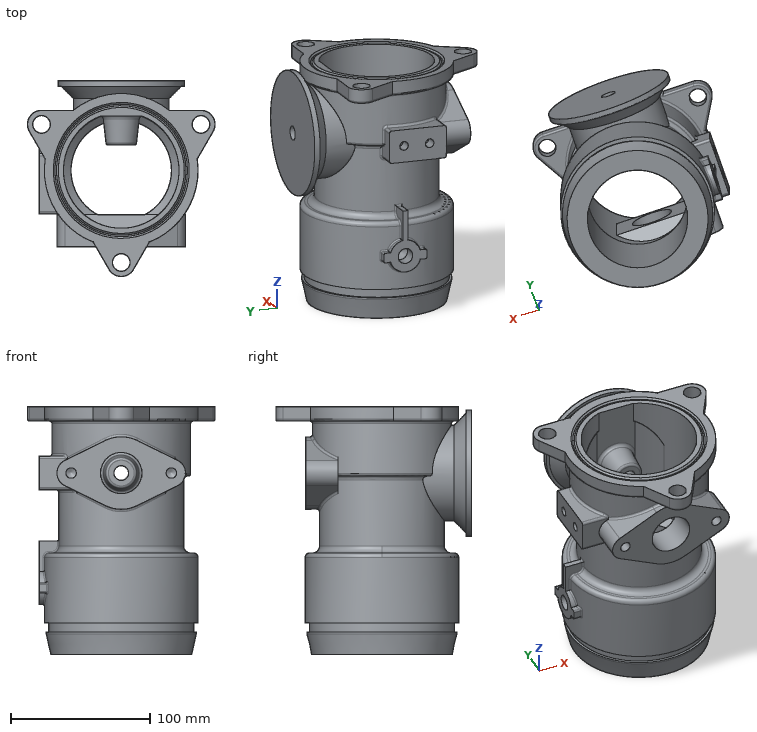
import cadquery as cq
import math


HEIGHT = 178.0
PORT_Z = 130.3

TIP_RADIUS = 50.5
LIP_RADIUS = 54.0
LIP_LOW_Z = 15.0
LIP_TOP_Z = 16.2
NECK_GROOVE_RADIUS = 52.2
DRUM_RADIUS = 55.2
DRUM_LOW_Z = 22.8
DRUM_TOP_Z = 73.0
DRUM_EDGE_FILLET = 3.4
WAIST_RADIUS = 44.9
WAIST_FILLET = 5.0
HEAD_RADIUS = 49.8
HEAD_LOW_Z = 128.2
HEAD_EDGE_FILLET = 1.8
HEAD_ROOT_FILLET = 3.0

BORE_RADIUS = 41.5
OUTLET_RADIUS = 36.0
REAR_FLAT_Y = 39.2
REAR_RECESS_RADIUS = 40.5
REAR_RECESS_CENTRE_Y = 1.5

FLANGE_THICKNESS = 10.5
FLANGE_RADIUS = 55.2
FLANGE_LOW_Z = HEIGHT - FLANGE_THICKNESS
FLANGE_EDGE_FILLET = 1.5
FLANGE_ROOT_FILLET = 1.8
EAR_CIRCLE_RADIUS = 66.0
EAR_RADIUS = 10.1
EAR_HOLE_RADIUS = 6.2
EAR_HALF_ANGLE = 30.0
EAR_ANGLES = (30.0, 150.0, 270.0)
SEAL_OUTER_RADIUS = 48.8
SEAL_INNER_RADIUS = 45.2
SEAL_DEPTH = 1.2

COUPLING_Y = 64.5
COUPLING_RADIUS = 45.4
COUPLING_RIM = 4.1
CONE_RADIUS = 43.0
STUB_RADIUS = 34.4
NOZZLE_TIP_Y = 18.2
NOZZLE_TIP_RADIUS = 10.9
NOZZLE_ROOT_RADIUS = 13.2
NOZZLE_TIP_FILLET = 1.8
NOZZLE_ROOT_FILLET = 2.5
NOZZLE_HOLE_RADIUS = 5.2

PORT_FACE_Y = -54.8
PORT_BACK_Y = -31.7
PORT_BLEND_Y = -14.2
PORT_CENTRE_RADIUS = 26.0
PORT_END_RADIUS = 10.1
PORT_HOLE_SPACING = 36.0
PORT_SCREW_RADIUS = 3.7
PORT_SCREW_DEPTH = 14.2
PORT_HOLE_RADIUS = 14.8
BOSS_ROOT_FILLET = 1.8
SILL_HEIGHT = 17.8
SILL_SLOPE_HEIGHT = 8.9

SIDE_FACE_X = -59.0
PAD_REAR_Y = 12.3
PAD_FRONT_Y = -31.3
PAD_HALF_HEIGHT = 12.1
PAD_EDGE_FILLET = 1.8
PAD_HOLE_YS = (1.0, -18.5)
PAD_HOLE_RADIUS = 3.2
PAD_HOLE_DEPTH = 10.7
SENSOR_Z = 47.9
SENSOR_RADIUS = 12.0
SENSOR_HOLE_RADIUS = 5.5
SENSOR_HOLE_DEPTH = 10.7
LUG_HALF_WIDTH = 16.4
LUG_HALF_HEIGHT = 3.5
LUG_CORNER_FILLET = 1.0
RIB_HALF_WIDTH = 2.0
RIB_TOP_Z = 81.7
SENSOR_ROOT_FILLET = 1.0

DRILL_TIP_ANGLE = 118.0
TOLERANCE = 0.002
SIDE_ROOT_X = -26.7


def block(x_range, y_range, z_range):
    """Axis-aligned box between the given limits."""
    sizes = [high - low for low, high in (x_range, y_range, z_range)]
    corner = (x_range[0], y_range[0], z_range[0])
    return cq.Workplane("XY").box(*sizes, centered=False).translate(corner)


def cylinder_y(radius, y_start, y_end):
    """Cylinder along Y on the port axis height."""
    return (
        cq.Workplane("XZ", origin=(0, y_start, PORT_Z)).circle(radius).extrude(y_start - y_end)
    )


def cone_y(start_radius, end_radius, y_start, y_end):
    """Truncated cone about the port axis, which runs along Y."""
    profile = [(0, y_start), (start_radius, y_start), (end_radius, y_end), (0, y_end)]
    return (
        cq.Workplane("XY").polyline(profile).close()
        .revolve(360, (0, 0, 0), (0, 1, 0)).translate((0, 0, PORT_Z))
    )


def drilled_hole(radius, depth, mouth, direction):
    """Blind hole with a conical drill tip."""
    tip_depth = radius / math.tan(math.radians(DRILL_TIP_ANGLE / 2))
    start = cq.Vector(*mouth)
    axis = cq.Vector(*direction)
    shaft = cq.Solid.makeCylinder(radius, depth, start, axis)
    tip = cq.Solid.makeCone(radius, 0, tip_depth, start + axis * depth, axis)
    return cq.Workplane(shaft.fuse(tip))


def blend(base, feature, radius):
    """Join a feature to a base and fillet the edges where their surfaces meet."""
    joined = base.union(feature)
    skins = [base.val().Shells()[0], feature.val().Shells()[0]]

    def is_seam(edge):
        points = [cq.Vertex.makeVertex(*edge.positionAt(t).toTuple()) for t in (0.3, 0.7)]
        return all(skin.distance(point) < TOLERANCE for skin in skins for point in points)

    return joined.edges().filter(is_seam).fillet(radius)


def make_body():
    """Turned outside of the tube, still without its bore."""
    arc = math.sqrt(0.5)
    waist_arc_r = WAIST_RADIUS + WAIST_FILLET
    waist_arc_z = DRUM_TOP_Z + WAIST_FILLET
    drum_arc_r = DRUM_RADIUS - DRUM_EDGE_FILLET
    drum_arc_z = DRUM_TOP_Z - DRUM_EDGE_FILLET
    root_arc_r = WAIST_RADIUS + HEAD_ROOT_FILLET
    root_arc_z = HEAD_LOW_Z - HEAD_ROOT_FILLET
    head_arc_r = HEAD_RADIUS - HEAD_EDGE_FILLET
    head_arc_z = HEAD_LOW_Z + HEAD_EDGE_FILLET
    return (
        cq.Workplane("XZ")
        .moveTo(0, 0)
        .lineTo(TIP_RADIUS, 0)
        .lineTo(LIP_RADIUS, LIP_LOW_Z)
        .lineTo(LIP_RADIUS, LIP_TOP_Z)
        .lineTo(NECK_GROOVE_RADIUS, LIP_TOP_Z)
        .lineTo(NECK_GROOVE_RADIUS, DRUM_LOW_Z)
        .lineTo(DRUM_RADIUS, DRUM_LOW_Z)
        .lineTo(DRUM_RADIUS, drum_arc_z)
        .threePointArc(
            (drum_arc_r + DRUM_EDGE_FILLET * arc, drum_arc_z + DRUM_EDGE_FILLET * arc),
            (drum_arc_r, DRUM_TOP_Z),
        )
        .lineTo(waist_arc_r, DRUM_TOP_Z)
        .threePointArc(
            (waist_arc_r - WAIST_FILLET * arc, waist_arc_z - WAIST_FILLET * arc),
            (WAIST_RADIUS, waist_arc_z),
        )
        .lineTo(WAIST_RADIUS, root_arc_z)
        .threePointArc(
            (root_arc_r - HEAD_ROOT_FILLET * arc, root_arc_z + HEAD_ROOT_FILLET * arc),
            (root_arc_r, HEAD_LOW_Z),
        )
        .lineTo(head_arc_r, HEAD_LOW_Z)
        .threePointArc(
            (head_arc_r + HEAD_EDGE_FILLET * arc, head_arc_z - HEAD_EDGE_FILLET * arc),
            (HEAD_RADIUS, head_arc_z),
        )
        .lineTo(HEAD_RADIUS, FLANGE_LOW_Z - FLANGE_ROOT_FILLET)
        .threePointArc(
            (
                HEAD_RADIUS + FLANGE_ROOT_FILLET * (1 - arc),
                FLANGE_LOW_Z - FLANGE_ROOT_FILLET * (1 - arc),
            ),
            (HEAD_RADIUS + FLANGE_ROOT_FILLET, FLANGE_LOW_Z),
        )
        .lineTo(HEAD_RADIUS + FLANGE_ROOT_FILLET, HEIGHT)
        .lineTo(0, HEIGHT)
        .close()
        .revolve(360, (0, 0, 0), (0, 1, 0))
    )


def make_flange():
    """Round flange with three ears that widen towards the body."""
    flange = cq.Workplane("XY").circle(FLANGE_RADIUS).extrude(FLANGE_THICKNESS)
    half_angle = math.radians(EAR_HALF_ANGLE)
    tangent_x = EAR_CIRCLE_RADIUS + EAR_RADIUS * math.sin(half_angle)
    tangent_y = EAR_RADIUS * math.cos(half_angle)
    root_x = FLANGE_RADIUS / 2
    root_y = tangent_y + (tangent_x - root_x) * math.tan(half_angle)
    ear = (
        cq.Workplane("XY")
        .moveTo(root_x, -root_y)
        .lineTo(tangent_x, -tangent_y)
        .threePointArc((EAR_CIRCLE_RADIUS + EAR_RADIUS, 0), (tangent_x, tangent_y))
        .lineTo(root_x, root_y)
        .close()
        .extrude(FLANGE_THICKNESS)
    )
    for angle in EAR_ANGLES:
        flange = flange.union(ear.rotate((0, 0, 0), (0, 0, 1), angle))
    flange = flange.faces("<Z").edges().fillet(FLANGE_EDGE_FILLET)
    return flange.translate((0, 0, FLANGE_LOW_Z))


def make_ear_holes():
    """Through holes, one in each flange ear."""
    return (
        cq.Workplane("XY", origin=(0, 0, FLANGE_LOW_Z))
        .polarArray(EAR_CIRCLE_RADIUS, EAR_ANGLES[0], 360, len(EAR_ANGLES))
        .circle(EAR_HOLE_RADIUS)
        .extrude(FLANGE_THICKNESS)
    )


def make_seal_groove():
    """Trapezoidal ring groove in the top face."""
    profile = [
        (SEAL_INNER_RADIUS, HEIGHT),
        (SEAL_OUTER_RADIUS, HEIGHT),
        (SEAL_OUTER_RADIUS - SEAL_DEPTH, HEIGHT - SEAL_DEPTH),
        (SEAL_INNER_RADIUS + SEAL_DEPTH, HEIGHT - SEAL_DEPTH),
    ]
    return cq.Workplane("XZ").polyline(profile).close().revolve(360, (0, 0, 0), (0, 1, 0))


def make_coupling():
    """Rear stub with a 45 degree flare and a cylindrical rim."""
    rim_y = COUPLING_Y - COUPLING_RIM
    flare_y = rim_y - (CONE_RADIUS - STUB_RADIUS)
    rim = cylinder_y(COUPLING_RADIUS, rim_y, COUPLING_Y)
    flare = cone_y(STUB_RADIUS, CONE_RADIUS, flare_y, rim_y)
    stub = cylinder_y(STUB_RADIUS, 0, flare_y)
    return rim.union(flare).union(stub)


def make_nozzle():
    """Tapered nozzle that points from the rear flat into the bore."""
    nozzle = cone_y(NOZZLE_TIP_RADIUS, NOZZLE_ROOT_RADIUS, NOZZLE_TIP_Y, REAR_FLAT_Y)
    nozzle = nozzle.faces("<Y").edges().fillet(NOZZLE_TIP_FILLET)
    wall = cylinder_y(STUB_RADIUS, REAR_FLAT_Y, BORE_RADIUS)
    foot = cylinder_y(NOZZLE_ROOT_RADIUS + NOZZLE_ROOT_FILLET, NOZZLE_TIP_Y, BORE_RADIUS)
    return blend(wall, nozzle, NOZZLE_ROOT_FILLET).intersect(foot)


def make_port():
    """Rhombic block: a large centre arc joined by tangents to two small end arcs."""
    slope = math.asin((PORT_CENTRE_RADIUS - PORT_END_RADIUS) / PORT_HOLE_SPACING)
    centre_x = PORT_CENTRE_RADIUS * math.sin(slope)
    centre_z = PORT_CENTRE_RADIUS * math.cos(slope)
    end_x = PORT_HOLE_SPACING + PORT_END_RADIUS * math.sin(slope)
    end_z = PORT_END_RADIUS * math.cos(slope)
    tip_x = PORT_HOLE_SPACING + PORT_END_RADIUS
    return (
        cq.Workplane("XZ", origin=(0, PORT_BLEND_Y, PORT_Z))
        .moveTo(-centre_x, centre_z)
        .threePointArc((0, PORT_CENTRE_RADIUS), (centre_x, centre_z))
        .lineTo(end_x, end_z)
        .threePointArc((tip_x, 0), (end_x, -end_z))
        .lineTo(centre_x, -centre_z)
        .threePointArc((0, -PORT_CENTRE_RADIUS), (-centre_x, -centre_z))
        .lineTo(-end_x, -end_z)
        .threePointArc((-tip_x, 0), (-end_x, end_z))
        .close()
        .extrude(PORT_BLEND_Y - PORT_FACE_Y)
    )


def make_sill():
    """Inner wall of the front port: a flat face with sloped upper and lower ends."""
    root_height = SILL_HEIGHT + SILL_SLOPE_HEIGHT
    profile = [
        (PORT_BACK_Y, -SILL_HEIGHT),
        (PORT_BACK_Y, SILL_HEIGHT),
        (-BORE_RADIUS, root_height),
        (-BORE_RADIUS, -root_height),
    ]
    ridge = (
        cq.Workplane("YZ", origin=(0, 0, PORT_Z)).polyline(profile).close()
        .extrude(BORE_RADIUS, both=True)
    )
    return ridge.intersect(cq.Workplane("XY").circle(WAIST_RADIUS).extrude(HEIGHT))


def make_pad():
    """Rectangular mounting pad."""
    pad = block(
        (SIDE_FACE_X, SIDE_ROOT_X),
        (PAD_FRONT_Y, PAD_REAR_Y),
        (PORT_Z - PAD_HALF_HEIGHT, PORT_Z + PAD_HALF_HEIGHT),
    )
    return pad.edges("|X").fillet(PAD_EDGE_FILLET)


def blend_into_tube(boss):
    """Fillet a boss into the head above its rounded step and into the waist below it."""
    split_z = HEAD_LOW_Z + HEAD_EDGE_FILLET
    low_z = PORT_Z - 2 * PORT_CENTRE_RADIUS
    tube_length = FLANGE_LOW_Z - low_z
    tube = cq.Workplane("XY", origin=(0, 0, low_z))
    side = (-HEIGHT, HEIGHT)
    above_step = block(side, side, (split_z, HEIGHT))
    upper = blend(tube.circle(HEAD_RADIUS).extrude(tube_length), boss, BOSS_ROOT_FILLET)
    lower = blend(tube.circle(WAIST_RADIUS).extrude(tube_length), boss, BOSS_ROOT_FILLET)
    return upper.intersect(above_step).union(lower.cut(above_step))


def make_sensor_boss():
    """Round boss with two side lugs and a rib that climbs over the drum shoulder."""
    depth = SIDE_ROOT_X - SIDE_FACE_X
    plane = cq.Workplane("YZ", origin=(SIDE_FACE_X, 0, SENSOR_Z))
    ring = plane.circle(SENSOR_RADIUS).extrude(depth)
    lugs = (
        plane.rect(2 * LUG_HALF_WIDTH, 2 * LUG_HALF_HEIGHT).extrude(depth)
        .edges("|X").fillet(LUG_CORNER_FILLET)
    )
    rib_height = RIB_TOP_Z - SENSOR_Z
    rib = plane.center(0, rib_height / 2).rect(2 * RIB_HALF_WIDTH, rib_height).extrude(depth)
    return ring.union(lugs).union(rib)


def make_bore():
    """Upper bore with a rear flat and recess, and a 45 degree shoulder down to the outlet bore."""
    profile = [
        (0, 0),
        (OUTLET_RADIUS, 0),
        (OUTLET_RADIUS, DRUM_TOP_Z),
        (BORE_RADIUS, DRUM_TOP_Z + BORE_RADIUS - OUTLET_RADIUS),
        (BORE_RADIUS, HEIGHT),
        (0, HEIGHT),
    ]
    bore = cq.Workplane("XZ").polyline(profile).close().revolve(360, (0, 0, 0), (0, 1, 0))
    flat_limit = block((-BORE_RADIUS, BORE_RADIUS), (-BORE_RADIUS, REAR_FLAT_Y), (0, HEIGHT))
    rear_recess = (
        cq.Workplane("XY").center(0, REAR_RECESS_CENTRE_Y).circle(REAR_RECESS_RADIUS).extrude(HEIGHT)
        .intersect(cylinder_y(STUB_RADIUS, 0, COUPLING_Y))
    )
    return bore.union(rear_recess).intersect(flat_limit)


result = blend(make_body(), make_sensor_boss(), SENSOR_ROOT_FILLET)

ahead_of_port_back = block((-HEIGHT, HEIGHT), (-HEIGHT, PORT_BACK_Y), (0, HEIGHT))
result = result.union(blend_into_tube(make_pad()))
result = result.union(blend_into_tube(make_port()).intersect(ahead_of_port_back))
result = result.union(make_coupling())
result = result.union(make_flange())

result = result.cut(make_bore())
result = result.union(make_nozzle())
result = result.union(make_sill())

result = result.cut(make_seal_groove())
result = result.cut(make_ear_holes())
result = result.cut(cylinder_y(PORT_HOLE_RADIUS, PORT_FACE_Y, PORT_BACK_Y))
result = result.cut(cylinder_y(NOZZLE_HOLE_RADIUS, NOZZLE_TIP_Y, COUPLING_Y))
for x in (-PORT_HOLE_SPACING, PORT_HOLE_SPACING):
    mouth = (x, PORT_FACE_Y, PORT_Z)
    result = result.cut(drilled_hole(PORT_SCREW_RADIUS, PORT_SCREW_DEPTH, mouth, (0, 1, 0)))
for y in PAD_HOLE_YS:
    mouth = (SIDE_FACE_X, y, PORT_Z)
    result = result.cut(drilled_hole(PAD_HOLE_RADIUS, PAD_HOLE_DEPTH, mouth, (1, 0, 0)))
sensor_mouth = (SIDE_FACE_X, 0, SENSOR_Z)
result = result.cut(drilled_hole(SENSOR_HOLE_RADIUS, SENSOR_HOLE_DEPTH, sensor_mouth, (1, 0, 0)))

result = cq.Workplane(result.solids().val())